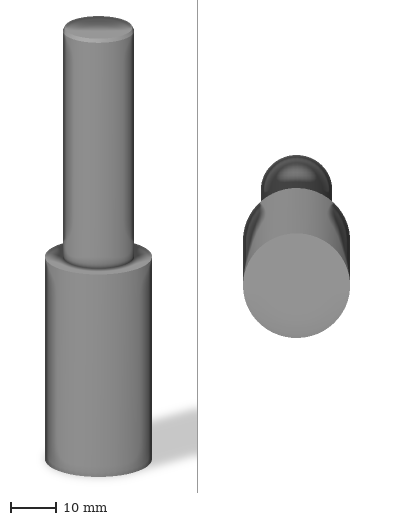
import cadquery as cq

total_length = 101.6
pin_diameter = 15.8
chamfer_height = 0.8
chamfer_width = 0.4
sleeve_diameter = 23.8
sleeve_length = 47.7


def make_pin():
    """Straight round pin along Z with a chamfered upper end."""
    return (
        cq.Workplane("XY")
        .circle(pin_diameter / 2)
        .extrude(total_length)
        .faces(">Z")
        .chamfer(chamfer_height, chamfer_width)
    )


def make_sleeve():
    """Plain round sleeve around the lower part of the pin."""
    return (
        cq.Workplane("XY")
        .circle(sleeve_diameter / 2)
        .circle(pin_diameter / 2)
        .extrude(sleeve_length)
    )


pin = make_pin()
sleeve = make_sleeve()

result = cq.Compound.makeCompound([pin.val(), sleeve.val()])